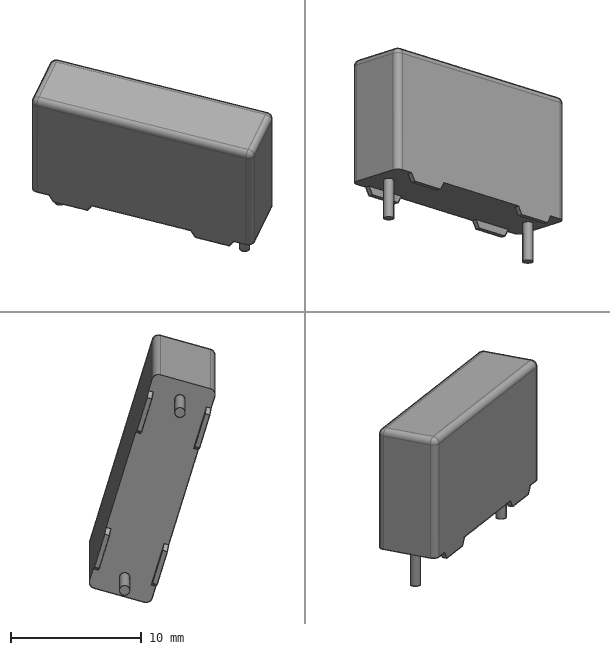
import cadquery as cq

length = 18.0
width = 5.0
overall_height = 13.0
housing_height = 9.9
edge_radius = 0.5

foot_height = 0.61
foot_thickness = 0.38
foot_outer_x = 7.5
foot_top_length = 3.5
foot_taper = 0.36

pin_diameter = 0.8
pin_spacing = 15.0
pin_length = overall_height - housing_height

SIDES = (-1, 1)


def make_foot(x_side, y_side):
    """Tapered foot, flush with one long side of the housing."""
    outer_x = foot_outer_x
    inner_x = foot_outer_x - foot_top_length
    profile = [
        (x_side * outer_x, 0),
        (x_side * inner_x, 0),
        (x_side * (inner_x + foot_taper), -foot_height),
        (x_side * (outer_x - foot_taper), -foot_height),
    ]
    center_y = y_side * (width - foot_thickness) / 2
    return (
        cq.Workplane("XZ", origin=(0, center_y, 0))
        .polyline(profile)
        .close()
        .extrude(foot_thickness / 2, both=True)
    )


def make_housing():
    """Block with its underside at Z = 0, rounded everywhere but the underside, on four feet."""
    housing = (
        cq.Workplane("XY")
        .box(length, width, housing_height, centered=(True, True, False))
        .edges("|Z or >Z")
        .fillet(edge_radius)
    )
    for x_side in SIDES:
        for y_side in SIDES:
            housing = housing.union(make_foot(x_side, y_side))
    return housing


def make_pin(x_side):
    """Lead pin hanging from the underside of the housing."""
    return (
        cq.Workplane("XY", origin=(x_side * pin_spacing / 2, 0, 0))
        .circle(pin_diameter / 2)
        .extrude(-pin_length)
    )


housing = make_housing()
pins = [make_pin(x_side) for x_side in SIDES]

result = cq.Compound.makeCompound([housing.val(), *[pin.val() for pin in pins]])